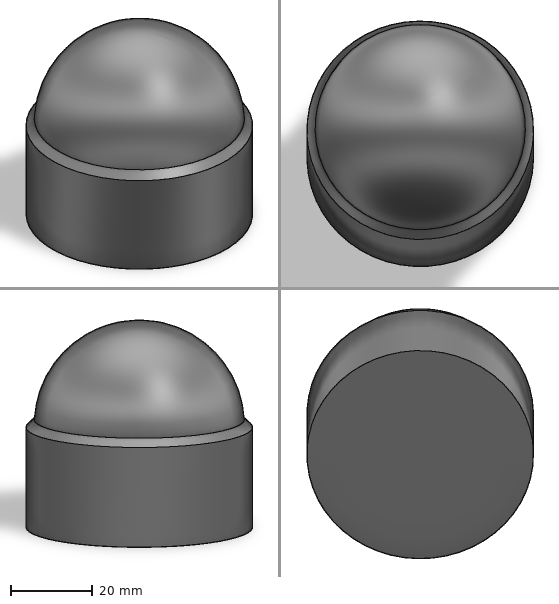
import cadquery as cq
import math

base_diameter = 55.9
total_height = 51.5
wall_height = 25.05
shoulder_height = 1.95
dome_diameter = 51.9

base_radius = base_diameter / 2
rim_radius = dome_diameter / 2
rim_z = wall_height + shoulder_height

dome_height = total_height - rim_z
sphere_radius = (rim_radius**2 + dome_height**2) / (2 * dome_height)
sphere_center_z = total_height - sphere_radius

rim_angle = math.atan2(rim_z - sphere_center_z, rim_radius)
middle_angle = (rim_angle + math.pi / 2) / 2
dome_middle = (
    sphere_radius * math.cos(middle_angle),
    sphere_center_z + sphere_radius * math.sin(middle_angle),
)

profile = (
    cq.Workplane("XZ")
    .lineTo(base_radius, 0)
    .lineTo(base_radius, wall_height)
    .lineTo(rim_radius, rim_z)
    .threePointArc(dome_middle, (0, total_height))
    .close()
)

result = profile.revolve(360, (0, 0, 0), (0, 1, 0))